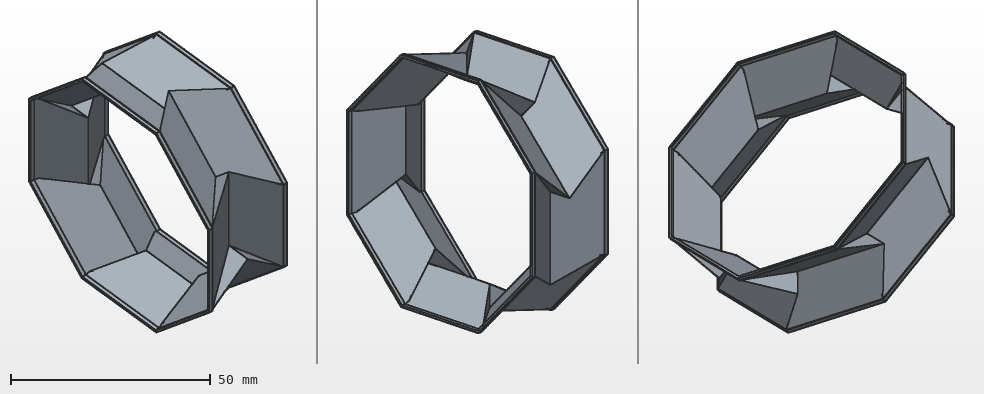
import cadquery as cq
import math

SIDES = 8
OUTER_APOTHEM = 33.4
RING_WIDTH = 26.4

SHEET_WIDTH = 24.05
SHEET_STEP = 0.2
SHEET_THICKNESS = 0.37
FOLD_ANGLE = 30.0

SHEET_HALF_WIDTH = SHEET_WIDTH / 2
RIM_WIDTH = (RING_WIDTH - SHEET_WIDTH) / 2
SHEET_APOTHEM = OUTER_APOTHEM - SHEET_STEP
FOLD_DEPTH = SHEET_HALF_WIDTH * math.tan(math.radians(FOLD_ANGLE))
SHIFT = FOLD_DEPTH * math.sqrt(2)
CORNER = SHEET_APOTHEM * math.tan(math.pi / SIDES)

PANEL_WALL = SHEET_THICKNESS / math.cos(math.radians(FOLD_ANGLE))
STEP_WALL = SHEET_THICKNESS * math.hypot(1, SHIFT / SHEET_HALF_WIDTH)


def turned(side, across, out, y):
    """Point given along and outward from the top side, turned on to another side."""
    angle = side * 2 * math.pi / SIDES
    x = across * math.cos(angle) + out * math.sin(angle)
    z = out * math.cos(angle) - across * math.sin(angle)
    return cq.Vector(x, y, z)


def polygon_face(points):
    return cq.Face.makeFromWires(cq.Wire.makePolygon(points, close=True))


def folded_solid(end_points, panel_points, step_points):
    """Solid bounded by the folded panels, their steps and two flat ends.

    Each argument is a function of (side, sign); sign picks the +Y or -Y half.
    """
    faces = []
    for sign in (-1, 1):
        faces.append(polygon_face([end_points(side, sign) for side in range(SIDES)]))
        for side in range(SIDES):
            faces.append(polygon_face(panel_points(side, sign)))
            faces.append(polygon_face(step_points(side, sign)))
    return cq.Solid.makeSolid(cq.Shell.makeShell(faces))


def outer_end(side, sign):
    return turned(side, CORNER, SHEET_APOTHEM, sign * SHEET_HALF_WIDTH)


def outer_low(side):
    return turned(side, CORNER - SHIFT, SHEET_APOTHEM - FOLD_DEPTH, 0)


def outer_high(side):
    return turned(side, CORNER - SHIFT, SHEET_APOTHEM, 0)


def outer_panel(side, sign):
    return [outer_end(side - 1, sign), outer_end(side, sign), outer_low(side), outer_high(side - 1)]


def outer_step(side, sign):
    return [outer_end(side, sign), outer_low(side), outer_high(side)]


INNER_APOTHEM = SHEET_APOTHEM - PANEL_WALL
INNER_CORNER = INNER_APOTHEM * math.tan(math.pi / SIDES)
INNER_LOW_OUT = INNER_APOTHEM - FOLD_DEPTH
STEP_ACROSS = CORNER - SHIFT + STEP_WALL
INNER_HIGH_OUT = INNER_LOW_OUT * math.sqrt(2) - STEP_ACROSS
FORK_DROP = STEP_WALL + (math.sqrt(2) - 1) * PANEL_WALL
FORK_RATIO = FORK_DROP / FOLD_DEPTH


def inner_end(side, sign):
    return turned(side, INNER_CORNER, INNER_APOTHEM, sign * SHEET_HALF_WIDTH)


def inner_fork(side, sign):
    across = CORNER - SHIFT * FORK_RATIO + STEP_WALL
    return turned(side, across, INNER_APOTHEM - FORK_DROP, sign * SHEET_HALF_WIDTH * (1 - FORK_RATIO))


def inner_low(side):
    return turned(side, STEP_ACROSS, INNER_LOW_OUT, 0)


def inner_high(side):
    return turned(side, STEP_ACROSS, INNER_HIGH_OUT, 0)


def inner_panel(side, sign):
    return [
        inner_end(side - 1, sign),
        inner_end(side, sign),
        inner_fork(side, sign),
        inner_low(side),
        inner_high(side - 1),
        inner_fork(side - 1, sign),
    ]


def inner_step(side, sign):
    return [inner_fork(side, sign), inner_low(side), inner_high(side)]


def octagon_prism(apothem):
    """Octagon of rim width, flats square to X and Z, running from Y = 0 toward -Y."""
    across_corners = 2 * apothem / math.cos(math.pi / SIDES)
    prism = cq.Workplane("XZ").polygon(SIDES, across_corners).extrude(RIM_WIDTH)
    return prism.rotate((0, 0, 0), (0, 1, 0), 180 / SIDES)


outer_skin = folded_solid(outer_end, outer_panel, outer_step)
inner_skin = folded_solid(inner_end, inner_panel, inner_step)
sheet = cq.Workplane(obj=outer_skin).cut(cq.Workplane(obj=inner_skin))

rim = octagon_prism(OUTER_APOTHEM).cut(octagon_prism(INNER_APOTHEM))
front_rim = rim.translate((0, -SHEET_HALF_WIDTH, 0))
back_rim = rim.translate((0, RING_WIDTH / 2, 0))

result = sheet.union(front_rim).union(back_rim)